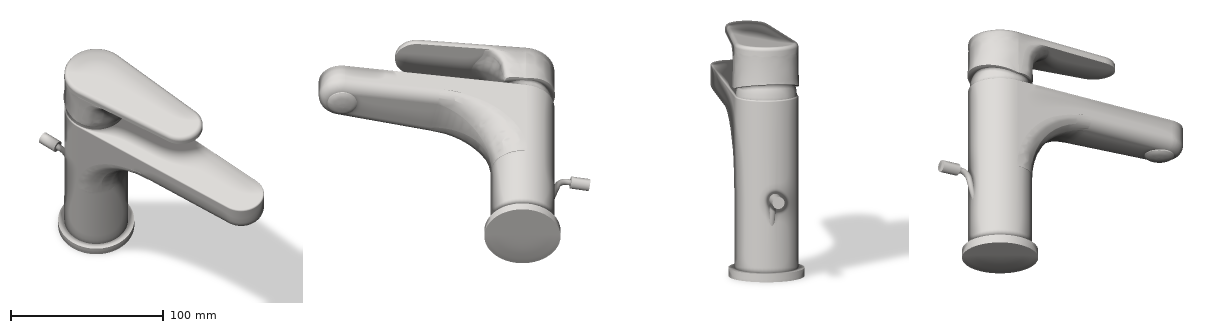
import cadquery as cq
import math


base_diameter = 50.0
base_height = 5.6

column_radius = 21.0
spout_top = 120.3
spout_underside = 100.2
spout_tip_radius = 15.0
spout_tip_center = 121.0
top_edge_round = 0.9
spout_edge_round = 7.0
spout_side_bottom = spout_underside + spout_edge_round

arch_foot = 58.3
arch_end = 58.9
arch_sections = 7
arch_rib_depth = 3.6
arch_rib_inset = 1.8
smallest_flat = 0.2
joint_tolerance = 0.01

aerator_center = 120.5
aerator_radius = 9.8
aerator_top = 104.7
aerator_rim = 99.7
aerator_bottom = 97.3

cap_radius = 20.0

lever_top = 155.5
plate_underside = 150.0
plate_edge_round = 2.5
lever_radius = 21.0
lever_tip_radius = 14.5
lever_tip_center = 70.5
skirt_bottom = 125.3
skirt_back_bottom = 131.1
skirt_slope_end = 0.7
skirt_radius = 21.5
waist_radius = 21.1
nose_fullness = 0.68
hub_bottom_section = (skirt_bottom, 2.2, 21.5)
hub_waist_section = (136.0, 5.6, 21.5)
hub_flare_section = (141.4, 6.9, 22.8)
hub_throat_section = (147.2, 10.8, 27.5)
hub_top_section = (plate_underside, 19.0, 33.5)

knob_radius = 4.0
knob_back = -44.6
knob_front = -32.1
rod_radius = 2.0
rod_height = 56.2
rod_bend_start = -30.0
rod_bend_radius = 7.0
rod_bend_angle = 73
rod_tail_length = 16.3


def taper_sine(radius, tip_radius, tip_center):
    """Sine of the angle between the X axis and the straight sides of a tapered outline."""
    return (radius - tip_radius) / tip_center


spout_sine = taper_sine(column_radius, spout_tip_radius, spout_tip_center)
lever_sine = taper_sine(lever_radius, lever_tip_radius, lever_tip_center)
diagonal = math.sqrt(0.5)


def side_half_width(x, radius, sine):
    """Half width at x of the straight part of a tapered outline."""
    return (radius - sine * x) / math.sqrt(1 - sine**2)


def tapered_slab(radius, tip_radius, tip_center, bottom, top):
    """Slab with a large round end on the Z axis, a small one at tip_center and tangent sides."""
    sine = taper_sine(radius, tip_radius, tip_center)
    cosine = math.sqrt(1 - sine**2)
    tip_x = tip_center + tip_radius * sine
    return (
        cq.Workplane("XY", origin=(0, 0, bottom))
        .moveTo(radius * sine, radius * cosine)
        .threePointArc((-radius, 0), (radius * sine, -radius * cosine))
        .lineTo(tip_x, -tip_radius * cosine)
        .threePointArc((tip_center + tip_radius, 0), (tip_x, tip_radius * cosine))
        .close()
        .extrude(top - bottom)
    )


def cylinder(radius, bottom, top):
    return cq.Workplane("XY", origin=(0, 0, bottom)).circle(radius).extrude(top - bottom)


def arch_edge(turn):
    """X and Z of the edge between arch and side wall, on a quarter ellipse."""
    start_x = column_radius * spout_sine
    angle = math.radians(turn)
    return (
        arch_end - (arch_end - start_x) * math.cos(angle),
        arch_foot + (spout_side_bottom - arch_foot) * math.sin(angle),
    )


def arch_section(turn):
    """Closed section of the arch, turn degrees on from the level foot section.

    It spans from one side wall to the other through the crest. Its corners are quarter
    ellipses, as wide as the half section at the foot and as the spout rounding at the end.
    """
    run = math.cos(math.radians(turn))
    rise = math.sin(math.radians(turn))
    edge_x, edge_z = arch_edge(turn)
    crest_x = arch_end - (arch_end - column_radius) * run
    crest_z = arch_foot + (spout_underside - arch_foot) * rise
    depth = math.hypot(crest_x - edge_x, crest_z - edge_z)
    outward = cq.Vector(crest_x - edge_x, 0, crest_z - edge_z).normalized()
    edge = cq.Vector(edge_x, 0, edge_z)
    half = side_half_width(edge_x, column_radius, spout_sine)
    end_flat = half - spout_edge_round
    flat = smallest_flat + (end_flat - smallest_flat) * (1 - run)
    corner = half - flat

    def point(across, out):
        return edge + cq.Vector(0, across, 0) + outward * out

    def corner_curve(side):
        points = [
            point(side * half, 0),
            point(side * (flat + corner * diagonal), depth * diagonal),
            point(side * flat, depth),
        ]
        return cq.Edge.makeSpline(points, tangents=[outward, cq.Vector(0, -side, 0)])

    rib_half = half - arch_rib_inset
    rib_path = [
        point(-half, 0),
        point(-rib_half, -arch_rib_depth),
        point(rib_half, -arch_rib_depth),
        point(half, 0),
    ]
    edges = [cq.Edge.makeLine(start, end) for start, end in zip(rib_path, rib_path[1:])]
    edges.append(corner_curve(1))
    edges.append(cq.Edge.makeLine(point(flat, depth), point(-flat, depth)))
    edges.append(corner_curve(-1))
    return cq.Wire.assembleEdges(edges)


def make_arch():
    """Underside of the arch, and the flat-sided web between it and the spout."""
    turns = [90 * i / (arch_sections - 1) for i in range(arch_sections)]
    underside = cq.Workplane(cq.Solid.makeLoft([arch_section(turn) for turn in turns]))
    edge_points = [arch_edge(turn) for turn in turns]
    web_side = (
        cq.Workplane("XZ")
        .moveTo(*edge_points[0])
        .spline(edge_points[1:], tangents=[(0, 1), (1, 0)], includeCurrent=True)
        .lineTo(arch_end, spout_top - spout_edge_round)
        .lineTo(edge_points[0][0], spout_top - spout_edge_round)
        .close()
        .extrude(column_radius * 2, both=True)
    )
    web = tapered_slab(
        column_radius, spout_tip_radius, spout_tip_center, arch_foot, spout_top - top_edge_round
    ).intersect(web_side)
    return web.union(underside, tol=joint_tolerance)


def make_spout():
    """Tapered spout arm that also forms the top of the column."""
    arm = tapered_slab(column_radius, spout_tip_radius, spout_tip_center, spout_underside, spout_top)
    arm = arm.faces(">Z").edges().fillet(top_edge_round)
    arm = arm.faces("<Z").edges().fillet(spout_edge_round)
    clearance = (
        cq.Workplane("XY", origin=(0, 0, spout_side_bottom))
        .rect(2 * arch_end, 4 * column_radius)
        .extrude(-2 * spout_edge_round)
    )
    return arm.cut(clearance)


def make_body():
    column = cylinder(column_radius, base_height, spout_side_bottom)
    return column.union(make_spout()).union(make_arch())


def make_aerator():
    """Short plug with a shallow domed outlet."""
    return (
        cq.Workplane("XZ")
        .moveTo(0, aerator_top)
        .lineTo(aerator_radius, aerator_top)
        .lineTo(aerator_radius, aerator_rim)
        .spline([(0, aerator_bottom)], tangents=[(-1, -1), (-1, 0)], includeCurrent=True)
        .close()
        .revolve(360, (0, 0, 0), (0, 1, 0))
        .translate((aerator_center, 0, 0))
    )


def make_cap():
    """Hemisphere seated on the top of the column."""
    return (
        cq.Workplane("XZ", origin=(0, 0, spout_top))
        .lineTo(cap_radius, 0)
        .radiusArc((0, cap_radius), -cap_radius)
        .close()
        .revolve(360, (0, 0, 0), (0, 1, 0))
    )


def hub_section(height, side_end, nose, radius):
    """Level hub section: round back, tapered sides and a rounded nose."""
    tangent_x = radius * lever_sine
    tangent_y = radius * math.sqrt(1 - lever_sine**2)
    half = side_half_width(side_end, radius, lever_sine)
    nose_x = side_end + (nose - side_end) * nose_fullness
    nose_y = half * nose_fullness
    return (
        cq.Workplane("XY", origin=(0, 0, height))
        .moveTo(tangent_x, tangent_y)
        .threePointArc((-radius, 0), (tangent_x, -tangent_y))
        .lineTo(side_end, -half)
        .spline(
            [(nose_x, -nose_y), (nose, 0), (nose_x, nose_y), (side_end, half)],
            tangents=[(1, 0), (-1, 0)],
            includeCurrent=True,
        )
        .close()
        .val()
    )


def make_lever():
    plate = tapered_slab(lever_radius, lever_tip_radius, lever_tip_center, plate_underside, lever_top)
    plate = plate.faces(">Z").edges().fillet(plate_edge_round)
    hub_sections = [
        hub_section(*hub_bottom_section, skirt_radius),
        hub_section(*hub_waist_section, waist_radius),
        hub_section(*hub_flare_section, lever_radius),
        hub_section(*hub_throat_section, lever_radius),
        hub_section(*hub_top_section, lever_radius),
    ]
    hub = cq.Workplane(cq.Solid.makeLoft(hub_sections))
    skirt_slope = (
        cq.Workplane("XZ")
        .moveTo(skirt_slope_end, skirt_bottom)
        .lineTo(-skirt_radius, skirt_back_bottom)
        .lineTo(-2 * skirt_radius, skirt_back_bottom)
        .lineTo(-2 * skirt_radius, skirt_bottom)
        .close()
        .extrude(2 * skirt_radius, both=True)
    )
    return plate.union(hub).cut(skirt_slope)


def make_pull_rod():
    """Cylindrical knob on a rod that bends down into the back of the column."""
    knob_end = cq.Workplane("YZ", origin=(knob_back, 0, rod_height))
    knob = knob_end.circle(knob_radius).extrude(knob_front - knob_back)
    angle = math.radians(rod_bend_angle)

    def bend_point(turn):
        return (
            rod_bend_start + rod_bend_radius * math.sin(turn),
            rod_height - rod_bend_radius * (1 - math.cos(turn)),
        )

    bend_end = bend_point(angle)
    tail_end = (
        bend_end[0] + rod_tail_length * math.cos(angle),
        bend_end[1] - rod_tail_length * math.sin(angle),
    )
    path = (
        cq.Workplane("XZ")
        .moveTo(knob_front, rod_height)
        .lineTo(rod_bend_start, rod_height)
        .threePointArc(bend_point(angle / 2), bend_end)
        .lineTo(*tail_end)
    )
    rod = cq.Workplane("YZ", origin=(knob_front, 0, rod_height)).circle(rod_radius).sweep(path)
    return knob.union(rod)


base = cylinder(base_diameter / 2, 0, base_height)
aerator = make_aerator()
cap = make_cap()
pull_rod = make_pull_rod()
body = make_body().cut(aerator).cut(pull_rod)
lever = make_lever().cut(cap)

result = cq.Compound.makeCompound(
    [
        base.val(),
        body.solids().val(),
        aerator.val(),
        cap.val(),
        lever.solids().val(),
        pull_rod.solids().val(),
    ]
)